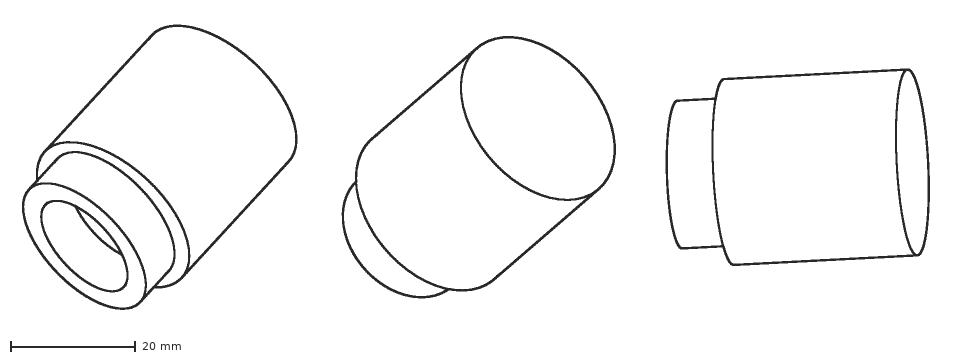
import cadquery as cq

total_length = 38.0
body_diameter = 30.0
body_length = 30.0
collar_length = total_length - body_length

collar_major_radius = 12.95
collar_minor_radius = 11.45
collar_wall = 3.6
collar_tilt = -50.0

shoulder_plane = cq.Workplane("XZ")


def elliptical_prism(major_radius, minor_radius):
    """Tilted elliptical prism standing on the shoulder of the body."""
    return (
        shoulder_plane
        .ellipse(major_radius, minor_radius, rotation_angle=collar_tilt)
        .extrude(collar_length)
    )


body = shoulder_plane.circle(body_diameter / 2).extrude(-body_length)

collar = elliptical_prism(collar_major_radius, collar_minor_radius)
pocket = elliptical_prism(collar_major_radius - collar_wall, collar_minor_radius - collar_wall)

result = body.union(collar.cut(pocket))